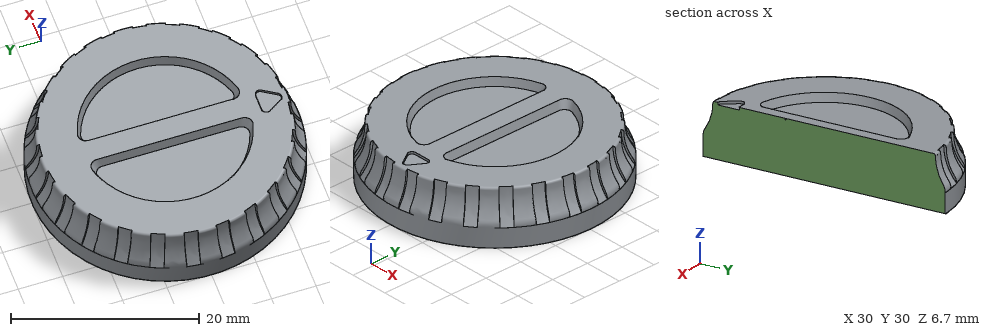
import cadquery as cq
import math

BASE_RADIUS = 15.0
HEIGHT = 6.7
BAND_HEIGHT = 2.5

TOP_RADIUS = 13.5
RIB_HEIGHT = 0.3
RIB_ARC_RADIUS = 5.5
RIB_TOP_ROUND = 0.3
RIB_FOOT_ROUND = 1.5
WAIST_Z = HEIGHT - RIB_TOP_ROUND
RIB_COUNT = 24
GROOVE_WIDTH = 1.5
CUT_MARGIN = 1.0

POCKET_RADIUS = 9.35
POCKET_DEPTH = 1.0
POCKET_TAPER = 20.0
POCKET_CORNER_ROUND = 1.0
BAR_WIDTH = 2.6

ARROW_BASE_Y = -10.5
ARROW_HALF_WIDTH = 1.9
ARROW_LENGTH = 3.0
ARROW_CORNER_ROUND = 0.5
ARROW_DEPTH = 0.3


def make_ribbed_blank():
    """Turned body at full rib height, with a rounded rim and a rounded foot."""
    waist_radius = TOP_RADIUS + RIB_HEIGHT
    arc_center_r = waist_radius + RIB_ARC_RADIUS

    foot_center_r = BASE_RADIUS - RIB_FOOT_ROUND
    center_distance = RIB_ARC_RADIUS + RIB_FOOT_ROUND
    foot_angle = math.acos((arc_center_r - foot_center_r) / center_distance)
    foot_center_z = WAIST_Z - center_distance * math.sin(foot_angle)

    def arc_point(angle):
        return (
            arc_center_r - RIB_ARC_RADIUS * math.cos(angle),
            WAIST_Z - RIB_ARC_RADIUS * math.sin(angle),
        )

    def foot_point(angle):
        return (
            foot_center_r + RIB_FOOT_ROUND * math.cos(angle),
            foot_center_z + RIB_FOOT_ROUND * math.sin(angle),
        )

    rim_angle = math.radians(45)
    rim_middle = (
        TOP_RADIUS + RIB_TOP_ROUND * math.cos(rim_angle),
        WAIST_Z + RIB_TOP_ROUND * math.sin(rim_angle),
    )
    return (
        cq.Workplane("XZ")
        .lineTo(BASE_RADIUS, 0)
        .lineTo(BASE_RADIUS, foot_center_z)
        .threePointArc(foot_point(foot_angle / 2), foot_point(foot_angle))
        .threePointArc(arc_point(foot_angle / 2), (waist_radius, WAIST_Z))
        .threePointArc(rim_middle, (TOP_RADIUS, HEIGHT))
        .lineTo(0, HEIGHT)
        .close()
        .revolve(360, (0, 0, 0), (0, 1, 0))
    )


def make_groove_ring():
    """Ring of material outside the concave surface of the groove floors."""
    inset = BASE_RADIUS - TOP_RADIUS
    drop = HEIGHT - BAND_HEIGHT
    floor_radius = (inset**2 + drop**2) / (2 * inset)
    half_angle = math.asin(drop / floor_radius) / 2
    floor_middle = (
        TOP_RADIUS + floor_radius * (1 - math.cos(half_angle)),
        HEIGHT - floor_radius * math.sin(half_angle),
    )
    outside = BASE_RADIUS + CUT_MARGIN
    above = HEIGHT + CUT_MARGIN
    return (
        cq.Workplane("XZ")
        .moveTo(BASE_RADIUS, BAND_HEIGHT)
        .threePointArc(floor_middle, (TOP_RADIUS, HEIGHT))
        .lineTo(TOP_RADIUS, above)
        .lineTo(outside, above)
        .lineTo(outside, BAND_HEIGHT)
        .close()
        .revolve(360, (0, 0, 0), (0, 1, 0))
    )


def make_grooves():
    """Parallel-sided grooves between the ribs, with a rib centred on each axis."""
    pitch = 360 / RIB_COUNT
    reach = 2 * BASE_RADIUS
    spokes = cq.Workplane("XY")
    for index in range(RIB_COUNT):
        spoke = cq.Workplane("XY").box(reach, GROOVE_WIDTH, 2 * HEIGHT, centered=(False, True, False))
        spokes = spokes.add(spoke.rotate((0, 0, 0), (0, 0, 1), (index + 0.5) * pitch))
    return make_groove_ring().intersect(spokes.combine())


def make_pocket():
    """Half-moon pocket on the +X side, narrowing towards its floor."""
    bar_x = BAR_WIDTH / 2
    end_y = math.sqrt(POCKET_RADIUS**2 - bar_x**2)
    return (
        cq.Workplane("XY", origin=(0, 0, HEIGHT))
        .moveTo(bar_x, end_y)
        .threePointArc((POCKET_RADIUS, 0), (bar_x, -end_y))
        .close()
        .extrude(-POCKET_DEPTH, taper=POCKET_TAPER)
        .edges(">Y or <Y")
        .fillet(POCKET_CORNER_ROUND)
    )


def make_arrow():
    """Rounded triangle pointing outwards."""
    return (
        cq.Workplane("XY", origin=(0, ARROW_BASE_Y, HEIGHT))
        .moveTo(-ARROW_HALF_WIDTH, 0)
        .lineTo(ARROW_HALF_WIDTH, 0)
        .lineTo(0, -ARROW_LENGTH)
        .close()
        .extrude(-ARROW_DEPTH)
        .edges("|Z")
        .fillet(ARROW_CORNER_ROUND)
    )


pocket = make_pocket()
result = (
    make_ribbed_blank()
    .cut(make_grooves())
    .cut(pocket)
    .cut(pocket.mirror("YZ"))
    .cut(make_arrow())
)